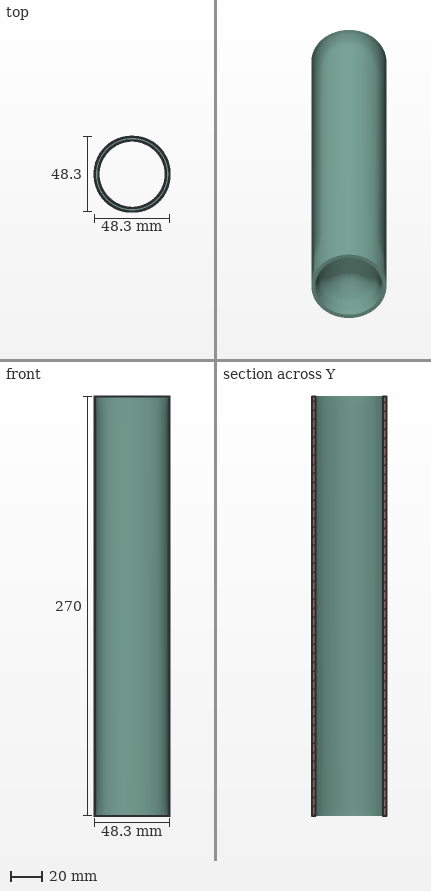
import cadquery as cq

OUTER_DIAMETER = 48.3
WALL_THICKNESS = 2.5
LENGTH = 270.0

inner_diameter = OUTER_DIAMETER - 2 * WALL_THICKNESS

result = (
    cq.Workplane("XY")
    .circle(OUTER_DIAMETER / 2)
    .circle(inner_diameter / 2)
    .extrude(LENGTH)
)